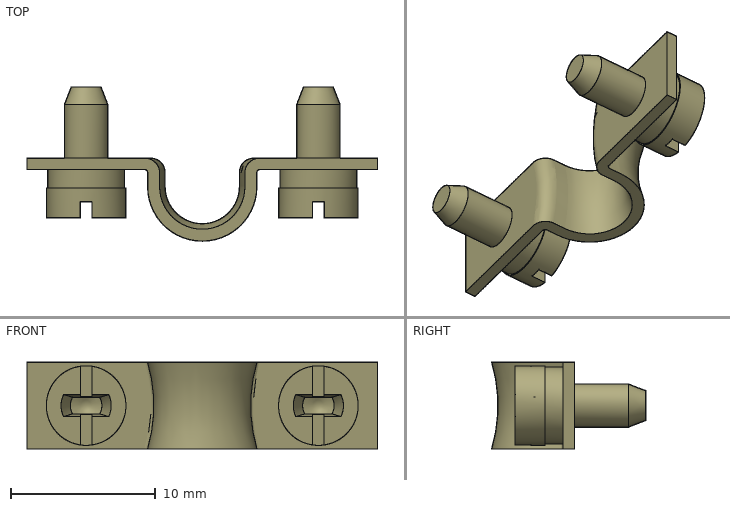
import cadquery as cq
import math

length = 24.2
height = 6.0
sheet = 0.8
waist_radius = 3.35
flare = 0.44
saddle_y = -1.95
bend_inside = 0.2
bend_outside = bend_inside + sheet
bend_x = waist_radius + bend_inside
ear_overlap = 1.94

screw_x = 8.0
pin_diameter = 3.0
tip_diameter = 2.05
tip_start = 3.7
tip_end = 4.91
collar_diameter = 5.32
collar_front = -2.05
head_diameter = 5.5
head_front = -4.11
slot_width = 0.8
slot_depth = 1.1

recess_depth = 1.52
recess_width = 1.52
recess_floor_width = 1.14
recess_diameter = 3.45
recess_floor_diameter = 2.18
drill_depth = 0.48

flare_radius = ((height / 2) ** 2 + flare ** 2) / (2 * flare)
flare_axis_x = waist_radius + flare_radius
sweep_half_angle = 25.0


def make_saddle():
    """Half of a flared ring with constant sheet thickness."""
    half = height / 2
    outer_edge = waist_radius + flare
    inner_edge = flare_axis_x - math.sqrt((flare_radius + sheet) ** 2 - half ** 2)
    return (
        cq.Workplane("XZ", origin=(0, saddle_y, 0))
        .moveTo(inner_edge, -half)
        .lineTo(outer_edge, -half)
        .threePointArc((waist_radius, 0), (outer_edge, half))
        .lineTo(inner_edge, half)
        .threePointArc((waist_radius - sheet, 0), (inner_edge, -half))
        .close()
        .revolve(180, (0, 0), (0, -1))
    )


def make_right_bend():
    """Ear edge, bend and straight wall, curved about an axis parallel to Y."""
    bend_y = -bend_outside
    diagonal = math.sqrt(0.5)
    ear_x = bend_x + ear_overlap
    bend = (
        cq.Workplane("XY")
        .moveTo(ear_x, 0)
        .lineTo(bend_x, 0)
        .threePointArc(
            (bend_x - bend_outside * diagonal, bend_y + bend_outside * diagonal),
            (bend_x - bend_outside, bend_y),
        )
        .lineTo(waist_radius - sheet, saddle_y)
        .lineTo(waist_radius, saddle_y)
        .lineTo(waist_radius, bend_y)
        .threePointArc(
            (bend_x - bend_inside * diagonal, bend_y + bend_inside * diagonal),
            (bend_x, -sheet),
        )
        .lineTo(ear_x, -sheet)
        .close()
        .revolve(2 * sweep_half_angle, (flare_axis_x, 0), (flare_axis_x, 1))
        .rotate((flare_axis_x, 0, 0), (flare_axis_x, 1, 0), -sweep_half_angle)
    )
    return bend.intersect(cq.Workplane("XY").box(length, length, height))


def make_right_ear():
    ear_start = bend_x + flare + ear_overlap / 2
    ear_length = length / 2 - ear_start
    return cq.Workplane("XY").box(ear_length, sheet, height).translate(
        (ear_start + ear_length / 2, -sheet / 2, 0)
    )


def make_recess():
    """Tapered round pocket limited to a tapered slot, with a conical floor."""
    floor_y = head_front + recess_depth
    taper = (
        cq.Workplane("XY")
        .moveTo(0, head_front)
        .lineTo(recess_diameter / 2, head_front)
        .lineTo(recess_floor_diameter / 2, floor_y)
        .lineTo(0, floor_y + drill_depth)
        .close()
        .revolve(360, (0, 0), (0, 1))
    )
    slot = (
        cq.Workplane("YZ")
        .moveTo(head_front, -recess_width / 2)
        .lineTo(floor_y, -recess_floor_width / 2)
        .lineTo(floor_y + drill_depth, -recess_floor_width / 2)
        .lineTo(floor_y + drill_depth, recess_floor_width / 2)
        .lineTo(floor_y, recess_floor_width / 2)
        .lineTo(head_front, recess_width / 2)
        .close()
        .extrude(recess_diameter / 2, both=True)
    )
    return taper.intersect(slot)


def make_screw():
    """Screw with its axis along Y through the origin."""
    body = (
        cq.Workplane("XY")
        .moveTo(0, head_front)
        .lineTo(head_diameter / 2, head_front)
        .lineTo(head_diameter / 2, collar_front)
        .lineTo(collar_diameter / 2, collar_front)
        .lineTo(collar_diameter / 2, -sheet)
        .lineTo(pin_diameter / 2, -sheet)
        .lineTo(pin_diameter / 2, tip_start)
        .lineTo(tip_diameter / 2, tip_end)
        .lineTo(0, tip_end)
        .close()
        .revolve(360, (0, 0), (0, 1))
    )
    slot = cq.Workplane("XY").box(slot_width, slot_depth, head_diameter).translate(
        (0, head_front + slot_depth / 2, 0)
    )
    return body.cut(slot).cut(make_recess())


right_side = make_right_bend().union(make_right_ear())
right_side = right_side.union(make_screw().translate((screw_x, 0, 0)))
left_side = right_side.mirror("YZ")
result = make_saddle().union(right_side).union(left_side)